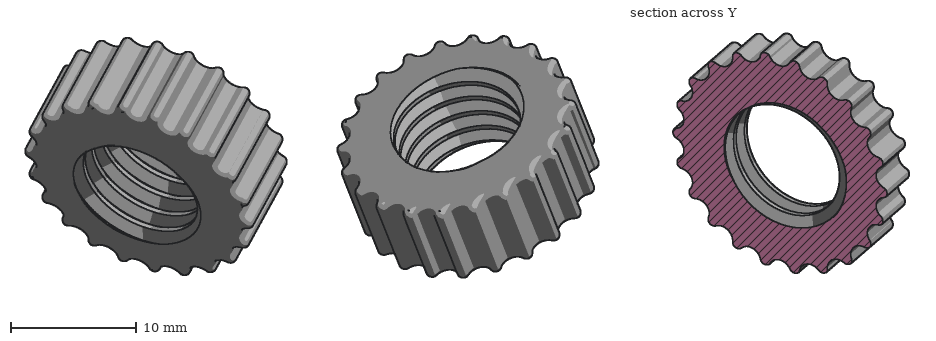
import cadquery as cq
import math

outer_diameter = 19.8
width = 7.75
tooth_count = 22
tip_radius = 0.5
groove_radius = 1.0
edge_radius = 0.48

minor_diameter = 10.28
major_diameter = 12.22
pitch = 1.75
flank_angle = 30.0
crest_width = pitch / 4
overrun = 2 * pitch
bore_overlap = 0.35

half_step = math.pi / tooth_count
tip_centre_radius = outer_diameter / 2 - tip_radius
half_chord = tip_centre_radius * math.sin(half_step)
centre_distance = groove_radius + tip_radius
groove_centre_radius = tip_centre_radius * math.cos(half_step) + math.sqrt(
    centre_distance**2 - half_chord**2
)


def polar(radius, angle):
    return (radius * math.cos(angle), radius * math.sin(angle))


def tangent_point(tip_angle, groove_angle):
    """Point where a tip arc meets the groove arc beside it."""
    tip = polar(tip_centre_radius, tip_angle)
    groove = polar(groove_centre_radius, groove_angle)
    share = tip_radius / centre_distance
    return (tip[0] + share * (groove[0] - tip[0]), tip[1] + share * (groove[1] - tip[1]))


def make_body():
    """Scalloped disc along Z, standing on the XY plane, with rounded end edges."""
    outline = cq.Workplane("XY").moveTo(*tangent_point(0, -half_step))
    for tooth in range(tooth_count):
        tip_angle = 2 * half_step * tooth
        groove_angle = tip_angle + half_step
        next_tip_angle = groove_angle + half_step
        outline = outline.threePointArc(
            polar(outer_diameter / 2, tip_angle), tangent_point(tip_angle, groove_angle)
        )
        outline = outline.threePointArc(
            polar(groove_centre_radius - groove_radius, groove_angle),
            tangent_point(next_tip_angle, groove_angle),
        )
    body = outline.close().extrude(width)
    return body.faces("<Z or >Z").edges().fillet(edge_radius)


def make_thread_cutter():
    """Right-hand helical trapezoid; its root is on the X axis at each whole pitch of height."""
    minor_radius = minor_diameter / 2
    major_radius = major_diameter / 2
    inner_radius = minor_radius - bore_overlap
    slope = math.tan(math.radians(flank_angle))
    half_mouth = (pitch - crest_width) / 2
    half_root = half_mouth - (major_radius - minor_radius) * slope
    half_inner = half_mouth + bore_overlap * slope
    helix = cq.Wire.makeHelix(pitch, width + 2 * overrun, minor_radius)
    profile = cq.Workplane("XZ").polyline(
        [
            (inner_radius, -half_inner),
            (major_radius, -half_root),
            (major_radius, half_root),
            (inner_radius, half_inner),
        ]
    ).close()
    return profile.sweep(cq.Workplane(helix), isFrenet=True).translate((0, 0, -overrun))


def make_bore_cutter():
    """Plain cylinder at the minor diameter, passing through both end faces."""
    cylinder = cq.Workplane("XY").circle(minor_diameter / 2).extrude(width + 2 * overrun)
    return cylinder.translate((0, 0, -overrun))


thread_cutter = make_thread_cutter().rotate((0, 0, 0), (0, 0, 1), 90)
nut = make_body().cut(thread_cutter).cut(make_bore_cutter())

result = nut.rotate((0, 0, 0), (1, 0, 0), -90).translate((0, -width / 2, 0))